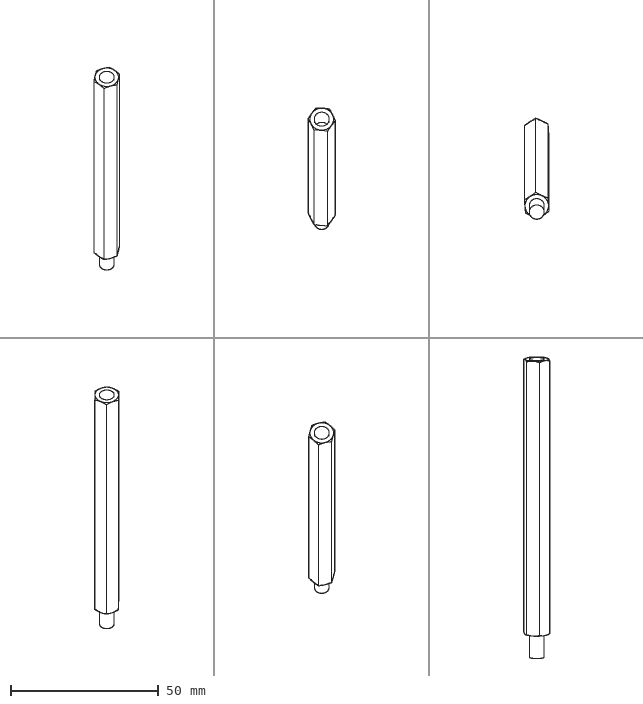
import cadquery as cq
import math

total_length = 103.0
across_flats = 8.0
across_corners = across_flats / math.cos(math.radians(30))

thread_diameter = 5.0
stud_length = 8.0
spacer_length = total_length - stud_length

bore_depth = 2 * thread_diameter

chamfer_angle = 30.0
end_face_diameter = 7.9
chamfer_width = (across_corners - end_face_diameter) / 2
chamfer_height = chamfer_width * math.tan(math.radians(chamfer_angle))


def make_chamfer_envelope():
    """Round bar through the hexagon corners, chamfered at both ends."""
    corner_radius = across_corners / 2
    end_radius = end_face_diameter / 2
    half_profile = [
        (0, 0),
        (end_radius, 0),
        (corner_radius, chamfer_height),
        (corner_radius, spacer_length - chamfer_height),
        (end_radius, spacer_length),
        (0, spacer_length),
    ]
    return cq.Workplane("XZ").polyline(half_profile).close().revolve(360, (0, 0), (0, 1))


def make_spacer():
    """Hexagonal spacer with corners along Y, trimmed ends and a blind top bore."""
    hexagon = (
        cq.Workplane("XY")
        .transformed(rotate=(0, 0, 90))
        .polygon(6, across_corners)
        .extrude(spacer_length)
    )
    bore = (
        cq.Workplane("XY")
        .workplane(offset=spacer_length - bore_depth)
        .circle(thread_diameter / 2)
        .extrude(bore_depth)
    )
    return hexagon.intersect(make_chamfer_envelope()).cut(bore)


def make_stud():
    """Plain round stud that meets the underside of the spacer."""
    return cq.Workplane("XY").circle(thread_diameter / 2).extrude(-stud_length)


spacer = make_spacer()
stud = make_stud()

result = cq.Compound.makeCompound([*spacer.solids().vals(), stud.val()])